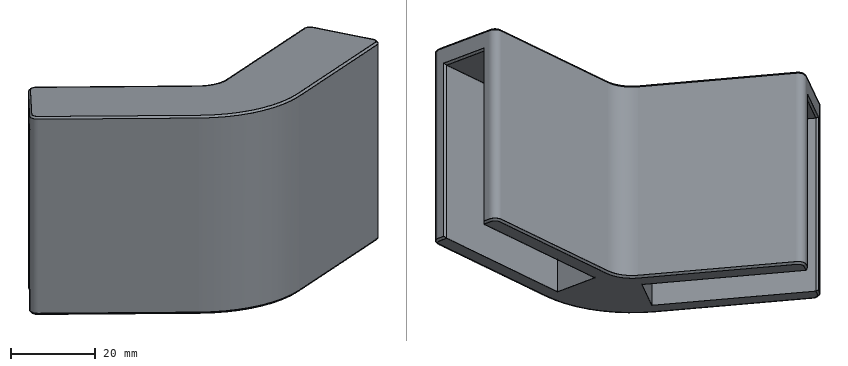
import cadquery as cq
import math

height = 50.0
arm_length = 39.9
width = 20.0
inner_bend_radius = 7.55
bend_angle = 60
corner_radius = 2.0
slot_width = 11.7
roof_thickness = 5.0
edge_chamfer = 0.5

outer_bend_radius = inner_bend_radius + width
mid_bend_radius = inner_bend_radius + width / 2
slot_height = height - roof_thickness
bend_sine = math.sin(math.radians(bend_angle))
bend_cosine = math.cos(math.radians(bend_angle))


def bend_point(radius, degrees):
    """Point on the bend, turned clockwise from the +X direction."""
    angle = math.radians(degrees)
    return (radius * math.cos(angle), -radius * math.sin(angle))


def lower_end(radius):
    """End corner of the slanted arm, on the side that leaves the bend at this radius."""
    x, y = bend_point(radius, bend_angle)
    return (x - arm_length * bend_sine, y - arm_length * bend_cosine)


def elbow():
    """Solid elbow, bend centred on the Z axis, one arm along +Y."""
    return (
        cq.Workplane("XY")
        .moveTo(inner_bend_radius, arm_length)
        .lineTo(outer_bend_radius, arm_length)
        .lineTo(outer_bend_radius, 0)
        .threePointArc(
            bend_point(outer_bend_radius, bend_angle / 2),
            bend_point(outer_bend_radius, bend_angle),
        )
        .lineTo(*lower_end(outer_bend_radius))
        .lineTo(*lower_end(inner_bend_radius))
        .lineTo(*bend_point(inner_bend_radius, bend_angle))
        .threePointArc(bend_point(inner_bend_radius, bend_angle / 2), (inner_bend_radius, 0))
        .close()
        .extrude(height)
    )


def slot_cutter():
    """Slot along the whole straight +Y arm, open below and at the end face, with a chamfered mouth."""
    slot = (
        cq.Workplane("XZ", origin=(mid_bend_radius, arm_length, 0))
        .rect(slot_width, 2 * slot_height)
        .extrude(arm_length)
    )
    mouth = (
        cq.Workplane("XZ", origin=(mid_bend_radius, arm_length, 0))
        .rect(slot_width + 2 * edge_chamfer, 2 * (slot_height + edge_chamfer))
        .workplane(offset=edge_chamfer)
        .rect(slot_width, 2 * slot_height)
        .loft(ruled=True)
    )
    return slot.union(mouth)


slanted_arm_direction = cq.Vector(-bend_sine, -bend_cosine, 0)
slanted_end_face = cq.selectors.DirectionMinMaxSelector(slanted_arm_direction)
body = elbow()
body = body.faces(">Y").edges("|Z").fillet(corner_radius)
body = body.faces(slanted_end_face).edges("|Z").fillet(corner_radius)
body = body.faces("<Z or >Z").edges().chamfer(edge_chamfer)

straight_arm_slot = slot_cutter()
slanted_arm_slot = straight_arm_slot.mirror("XZ").rotate((0, 0, 0), (0, 0, 1), -bend_angle)
result = body.cut(straight_arm_slot).cut(slanted_arm_slot)